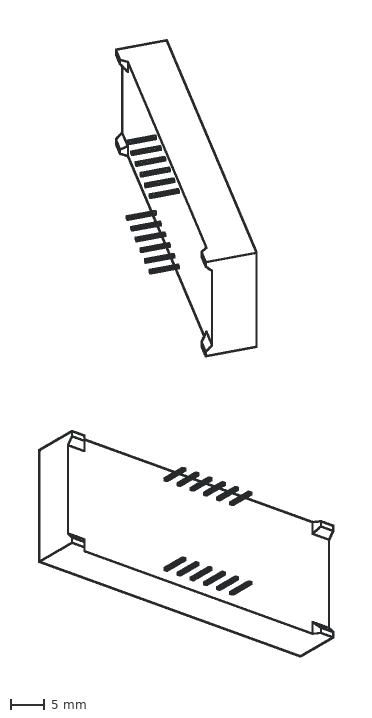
import cadquery as cq

body_length = 50.3
body_depth = 7.0
body_height = 19.0

foot_height = 1.0
foot_base_length = 3.2
foot_base_width = 2.0
foot_tip_length = 2.4
foot_tip_width = 0.9

pin_rows = 2
pins_per_row = 6
pin_pitch = 2.54
row_spacing = 15.24
pin_width = 0.5
pin_thickness = 0.3
total_depth = 11.5
pin_length = total_depth - body_depth


def make_body():
    return cq.Workplane("XY").box(body_length, body_depth, body_height, centered=(True, False, True))


def make_foot(side_x, side_z):
    """Foot flush with the outer corner, narrowing inward toward its tip."""
    corner_x = side_x * body_length / 2
    corner_z = side_z * body_height / 2

    def center(length, width):
        return corner_x - side_x * length / 2, corner_z - side_z * width / 2

    base_x, base_z = center(foot_base_length, foot_base_width)
    tip_x, tip_z = center(foot_tip_length, foot_tip_width)
    return (
        cq.Workplane("XZ")
        .center(base_x, base_z)
        .rect(foot_base_length, foot_base_width)
        .workplane(offset=foot_height)
        .center(tip_x - base_x, tip_z - base_z)
        .rect(foot_tip_length, foot_tip_width)
        .loft(ruled=True)
    )


def make_pins():
    return (
        cq.Workplane("XZ")
        .rarray(pin_pitch, row_spacing, pins_per_row, pin_rows)
        .rect(pin_width, pin_thickness)
        .extrude(pin_length)
    )


result = make_body()
for side_x in (-1, 1):
    for side_z in (-1, 1):
        result = result.union(make_foot(side_x, side_z))
result = result.union(make_pins())